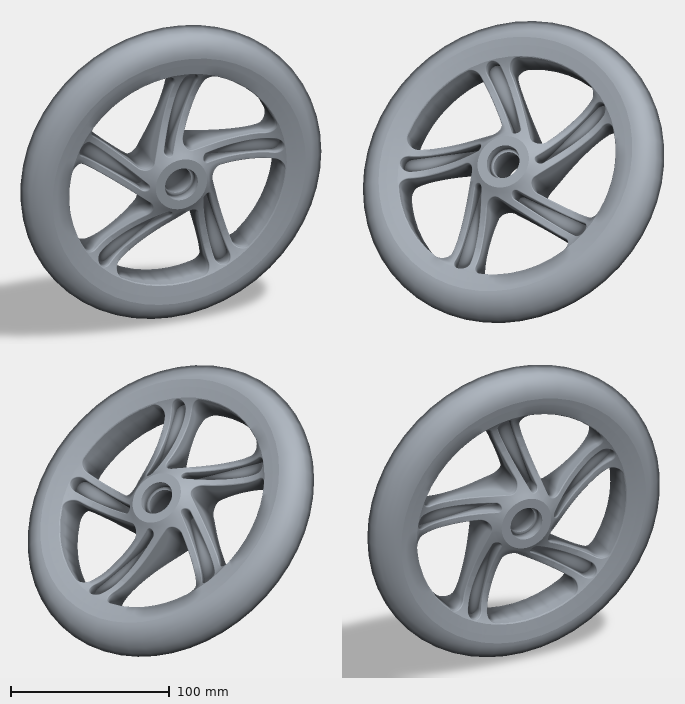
import cadquery as cq
import math

outer_radius = 100.0
tyre_width = 30.0
tyre_half_width = tyre_width / 2
tyre_center_radius = outer_radius - tyre_half_width
rim_inner_radius = 73.2
rim_face_radius = 80.0
rim_face_half_width = 14.0
rim_edge_half_width = 12.5

hub_half_width = 19.0
hub_radius = 17.2
bore_diameter = 18.0
bearing_diameter = 22.0
bearing_depth = 7.0

spoke_count = 5
spoke_pitch = 360.0 / spoke_count
waist_radius = 55.2
waist_half_width = 5.8

leading_offset = 20.5
trailing_offset = 7.8
spoke_taper = 5.4
window_outer_radius = 72.5
window_corner_radius = 6.0
edge_radius = 0.5

pocket_wall = 4.5
pocket_inner_reach = 18.5
pocket_outer_reach = 66.8
web_thickness = 6.0

side_plane = cq.Plane(origin=(0, 0, 0), xDir=(0, -1, 0), normal=(-1, 0, 0))
taper = math.radians(spoke_taper)


def dish_arc_middle(waist, end):
    """Middle point of the arc from waist to end that runs along the radius at the waist."""
    rise = end[0] - waist[0]
    run = end[1] - waist[1]
    arc_radius = (rise ** 2 + run ** 2) / (2 * rise)
    half_angle = math.asin(run / arc_radius) / 2
    return (
        waist[0] + arc_radius * (1 - math.cos(half_angle)),
        waist[1] + arc_radius * math.sin(half_angle),
    )


def make_disc():
    """Solid of revolution: hub, dished spoke disc, rim and round tyre."""
    hub_edge = (hub_half_width, hub_radius)
    waist = (waist_half_width, waist_radius)
    rim_edge = (rim_edge_half_width, rim_inner_radius)
    rim_face = (rim_face_half_width, rim_face_radius)
    tyre_edge = (tyre_half_width, tyre_center_radius)
    hub_side_middle = dish_arc_middle(waist, hub_edge)
    rim_side_middle = dish_arc_middle(waist, rim_edge)

    def other_side(point):
        return (-point[0], point[1])

    return (
        cq.Workplane("XY")
        .moveTo(hub_half_width, 0)
        .lineTo(*hub_edge)
        .threePointArc(hub_side_middle, waist)
        .threePointArc(rim_side_middle, rim_edge)
        .lineTo(*rim_face)
        .lineTo(*tyre_edge)
        .threePointArc((0, outer_radius), other_side(tyre_edge))
        .lineTo(*other_side(rim_face))
        .lineTo(*other_side(rim_edge))
        .threePointArc(other_side(rim_side_middle), other_side(waist))
        .threePointArc(other_side(hub_side_middle), other_side(hub_edge))
        .lineTo(-hub_half_width, 0)
        .close()
        .revolve(360, (0, 0, 0), (1, 0, 0))
    )


def make_window():
    """Opening between the lower edge of one spoke and the upper edge of the next."""
    pitch = math.radians(spoke_pitch)
    spread = math.sin(pitch - taper)
    corner = (
        (trailing_offset * math.cos(pitch) - leading_offset * math.cos(taper)) / spread,
        (trailing_offset * math.sin(pitch) - leading_offset * math.sin(taper)) / spread,
    )
    reach = 2 * outer_radius
    trailing_end = (corner[0] - reach * math.cos(taper), corner[1] - reach * math.sin(taper))
    leading_end = (corner[0] - reach * math.cos(pitch), corner[1] - reach * math.sin(pitch))
    wedge = (
        cq.Workplane(side_plane)
        .polyline([corner, trailing_end, leading_end])
        .close()
        .extrude(hub_half_width, both=True)
    )
    opening = cq.Workplane(side_plane).circle(window_outer_radius).extrude(hub_half_width, both=True)
    return wedge.intersect(opening).edges("|X").fillet(window_corner_radius)


def pocket_end(reach):
    """Centre and radius of the arc that touches both pocket edges at this reach."""
    upper = leading_offset - pocket_wall
    lower = (trailing_offset + pocket_wall) / math.cos(taper) - reach * math.tan(taper)
    radius = (upper - lower) * math.cos(taper) / (1 + math.cos(taper))
    return (-reach, upper - radius), radius


def make_pocket_pair():
    """Round-ended tapered pockets on both faces of one spoke, with a web between them."""
    inner, inner_radius = pocket_end(pocket_inner_reach)
    outer, outer_end_radius = pocket_end(pocket_outer_reach)

    def on_arc(center, radius, angle):
        return (center[0] + radius * math.cos(angle), center[1] + radius * math.sin(angle))

    upper_angle = math.pi / 2
    lower_angle = taper - math.pi / 2
    middle_angle = (upper_angle + lower_angle) / 2
    pocket = (
        cq.Workplane(side_plane)
        .workplane(offset=web_thickness / 2)
        .moveTo(*on_arc(outer, outer_end_radius, upper_angle))
        .lineTo(*on_arc(inner, inner_radius, upper_angle))
        .threePointArc(
            on_arc(inner, inner_radius, middle_angle),
            on_arc(inner, inner_radius, lower_angle),
        )
        .lineTo(*on_arc(outer, outer_end_radius, lower_angle))
        .threePointArc(
            on_arc(outer, outer_end_radius, middle_angle + math.pi),
            on_arc(outer, outer_end_radius, upper_angle),
        )
        .close()
        .extrude(hub_half_width)
    )
    return pocket.union(pocket.mirror("YZ"))


def make_bore():
    """Through bore with a bearing seat at each end."""
    bore = cq.Workplane(side_plane).circle(bore_diameter / 2).extrude(hub_half_width, both=True)
    seat = (
        cq.Workplane(side_plane)
        .workplane(offset=hub_half_width - bearing_depth)
        .circle(bearing_diameter / 2)
        .extrude(bearing_depth)
    )
    return bore.union(seat).union(seat.mirror("YZ"))


wheel = make_disc()
window = make_window()
pocket_pair = make_pocket_pair()
for index in range(spoke_count):
    turn = index * spoke_pitch
    wheel = wheel.cut(window.rotate((0, 0, 0), (1, 0, 0), turn))
    wheel = wheel.cut(pocket_pair.rotate((0, 0, 0), (1, 0, 0), turn))

walls = wheel.faces("(%PLANE or %CYLINDER) exc |X")
dished_faces = wheel.faces("%TORUS or %REVOLUTION")
wall_edges = set(walls.edges().vals())
opening_rims = [edge for edge in dished_faces.edges().vals() if edge in wall_edges]
wheel = wheel.newObject(opening_rims).fillet(edge_radius)
result = wheel.cut(make_bore())